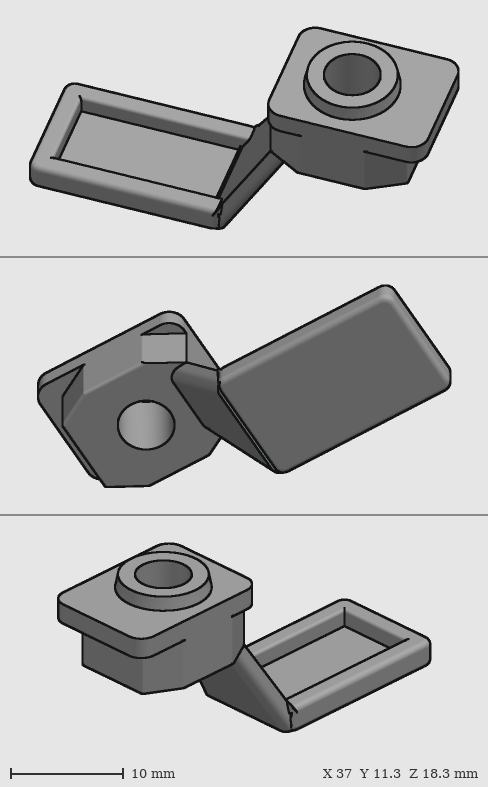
import cadquery as cq
import math

length = 37.0
width = 11.3
height = 18.28
half_width = width / 2

tray_height = 2.5
tray_end = 18.15
corner_radius = 1.0
edge_radius = 0.5
pocket_start = 1.92
pocket_end = 16.8
pocket_width = 7.47
pocket_floor = 0.9
pocket_rim_radius = 0.3
ledge_height = 1.4

block_start = 22.13
block_end = 35.0
block_bottom = 10.03
block_narrow_width = 7.47
block_taper_length = 3.4
block_edge_radius = 0.3

flange_bottom = 15.02
flange_top = 17.0
flange_corner_radius = 1.55
boss_center_x = 28.53
boss_base_radius = 4.3
boss_top_radius = 4.05
bore_radius = 2.5

strap_foot = 18.25
strap_head = 24.2
strap_foot_width = 10.35
strap_slope = (strap_head - strap_foot) / block_bottom
strap_angle = math.atan(strap_slope)
strap_thickness = (strap_head - block_start) * math.cos(strap_angle)


def upper_face_x(z):
    """X of the strap's upper face at height z."""
    return block_start + (z - block_bottom) * strap_slope


def lower_face_x(z):
    """X of the strap's lower face at height z."""
    return strap_foot + z * strap_slope


def full_width_prism(points):
    """Prism of an XZ outline, as wide as the part."""
    return cq.Workplane("XZ").polyline(points).close().extrude(half_width, both=True)


def tray_slab(slab_height, rounded_faces):
    """Tray-sized slab with rounded corners and the edges of the chosen faces rounded."""
    return (
        cq.Workplane("XY")
        .box(tray_end, width, slab_height, centered=(False, True, False))
        .edges("|Z").fillet(corner_radius)
        .faces(rounded_faces).edges().fillet(edge_radius)
    )


def make_tray():
    """Tray with a pocket left open toward the strap, its top ending at the strap's upper face."""
    tray = tray_slab(tray_height, "<Z or >Z")
    pocket = (
        cq.Workplane("XY", origin=(pocket_start, 0, pocket_floor))
        .box(length, pocket_width, height, centered=(False, True, False))
    )
    tray = tray.cut(pocket)
    rim = cq.selectors.BoxSelector(
        (pocket_start - pocket_rim_radius, -pocket_width / 2 - pocket_rim_radius, pocket_floor),
        (tray_end, pocket_width / 2 + pocket_rim_radius, height),
    )
    tray = tray.faces(">Z").edges(rim).edges("|X or |Y").fillet(pocket_rim_radius)
    trim = full_width_prism([
        (0, 0),
        (strap_foot, 0),
        (upper_face_x(tray_height), tray_height),
        (0, tray_height),
    ])
    return tray.intersect(trim)


def make_rise():
    """Continuation of the tray's far corners up along the strap."""
    bottom = tray_height - edge_radius
    top = tray_height + corner_radius
    sloped_band = full_width_prism([
        (upper_face_x(bottom), bottom),
        (lower_face_x(bottom), bottom),
        (lower_face_x(top), top),
        (upper_face_x(top), top),
    ])
    return tray_slab(2 * top, "<Z").intersect(sloped_band)


def make_strap():
    """Tapered plate, drawn on its upper face and thickened square to it."""
    upper_face = cq.Plane(
        origin=(block_start, 0, block_bottom),
        xDir=(math.sin(strap_angle), 0, math.cos(strap_angle)),
        normal=(math.cos(strap_angle), 0, -math.sin(strap_angle)),
    )
    taper_run = (block_bottom - tray_height) / math.cos(strap_angle)
    taper = (strap_foot_width - block_narrow_width) / 2 / taper_run
    reach_down = block_bottom / math.cos(strap_angle) + strap_thickness
    reach_up = strap_thickness
    foot = block_narrow_width / 2 + taper * reach_down
    head = block_narrow_width / 2 - taper * reach_up
    plate = (
        cq.Workplane(upper_face)
        .polyline([(-reach_down, -foot), (reach_up, -head), (reach_up, head), (-reach_down, foot)])
        .close()
        .extrude(strap_thickness)
        .faces(cq.DirectionMinMaxSelector(upper_face.zDir, True))
        .edges("not |Y")
        .fillet(corner_radius)
    )
    trim = full_width_prism([
        (strap_foot, 0),
        (strap_head, block_bottom),
        (block_start, block_bottom),
        (upper_face_x(ledge_height), ledge_height),
        (pocket_end, ledge_height),
        (pocket_end, edge_radius),
    ])
    return plate.intersect(trim)


def make_ledge():
    """Low step that closes the pocket in front of the strap."""
    return (
        cq.Workplane("XY", origin=(pocket_end, 0, edge_radius))
        .box(
            lower_face_x(edge_radius) - pocket_end, pocket_width, ledge_height - edge_radius,
            centered=(False, True, False),
        )
    )


def make_block():
    """Eight-sided block, rounded except around its strap side."""
    narrow = block_narrow_width / 2
    taper_start = block_start + block_taper_length
    taper_end = block_end - block_taper_length
    block = (
        cq.Workplane("XY", origin=(0, 0, block_bottom))
        .polyline([
            (block_start, -narrow), (taper_start, -half_width),
            (taper_end, -half_width), (block_end, -narrow),
            (block_end, narrow), (taper_end, half_width),
            (taper_start, half_width), (block_start, narrow),
        ])
        .close()
        .extrude(flange_bottom - block_bottom)
    )
    away_from_strap = cq.selectors.BoxSelector(
        (taper_start - block_edge_radius, -width, 0), (length, width, height)
    )
    return block.edges("|Z or <Z").edges(away_from_strap).fillet(block_edge_radius)


def make_flange():
    """Rounded plate on top of the block."""
    return (
        cq.Workplane("XY", origin=(block_start, 0, flange_bottom))
        .box(length - block_start, width, flange_top - flange_bottom, centered=(False, True, False))
        .edges("|Z").fillet(flange_corner_radius)
    )


def make_boss():
    """Slightly conical collar around the bore."""
    return (
        cq.Workplane("XY", origin=(boss_center_x, 0, flange_top))
        .circle(boss_base_radius)
        .workplane(offset=height - flange_top)
        .circle(boss_top_radius)
        .loft()
    )


bore = cq.Workplane("XY", origin=(boss_center_x, 0, 0)).circle(bore_radius).extrude(height)

result = (
    make_tray()
    .union(make_rise())
    .union(make_strap())
    .union(make_ledge())
    .union(make_block())
    .union(make_flange())
    .union(make_boss())
    .cut(bore)
)